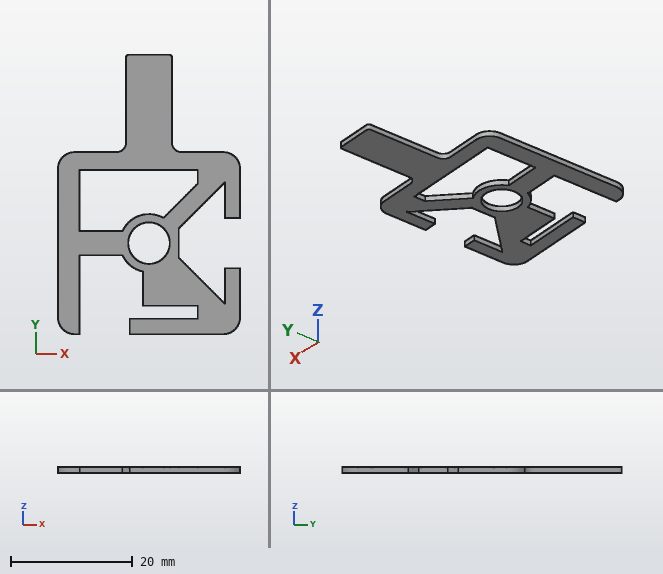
import cadquery as cq

thickness = 1.0
body_size = 30.0
body_half = body_size / 2
body_corner_radius = 2.8

tab_width = 7.6
tab_length = 16.0
tab_tip_radius = 0.5
tab_root_radius = 1.5

hole_radius = 3.4
ring_radius = 4.8

left_rail_inner_x = -11.4
top_rail_inner_y = 12.0
web_half_width = 2.0

window_right_x = 8.0
strut_offset = 1.77

notch_floor_x = 4.9
notch_lip_x = 12.5
notch_mouth_half = 4.1
notch_edge_offset = 2.5

bay_right_x = -1.0
bottom_rail_end_x = -3.2
slot_top_y = -10.3
slot_bottom_y = -12.4
slot_end_x = window_right_x


def plate(outline):
    return outline.close().extrude(thickness)


def body_with_tab():
    body = cq.Workplane("XY").rect(body_size, body_size).extrude(thickness)
    body = body.edges("|Z").fillet(body_corner_radius)
    tab = (
        cq.Workplane("XY")
        .center(0, body_half + tab_length / 2)
        .rect(tab_width, tab_length)
        .extrude(thickness)
        .edges("|Z and >Y")
        .fillet(tab_tip_radius)
    )
    tab_roots = cq.selectors.BoxSelector(
        (-tab_width, body_half - tab_root_radius, -thickness),
        (tab_width, body_half + tab_root_radius, 2 * thickness),
    )
    return body.union(tab).edges("|Z").edges(tab_roots).fillet(tab_root_radius)


def upper_window():
    strut_foot_x = web_half_width - strut_offset
    return plate(
        cq.Workplane("XY")
        .moveTo(left_rail_inner_x, web_half_width)
        .lineTo(left_rail_inner_x, top_rail_inner_y)
        .lineTo(window_right_x, top_rail_inner_y)
        .lineTo(window_right_x, window_right_x + strut_offset)
        .lineTo(strut_foot_x, web_half_width)
    )


def side_notch():
    floor_half = notch_floor_x - notch_edge_offset
    lip_half = notch_lip_x - notch_edge_offset
    return plate(
        cq.Workplane("XY")
        .moveTo(notch_floor_x, -floor_half)
        .lineTo(notch_floor_x, floor_half)
        .lineTo(notch_lip_x, lip_half)
        .lineTo(notch_lip_x, notch_mouth_half)
        .lineTo(body_half, notch_mouth_half)
        .lineTo(body_half, -notch_mouth_half)
        .lineTo(notch_lip_x, -notch_mouth_half)
        .lineTo(notch_lip_x, -lip_half)
    )


def lower_bay():
    return plate(
        cq.Workplane("XY")
        .moveTo(left_rail_inner_x, -body_half)
        .lineTo(left_rail_inner_x, -web_half_width)
        .lineTo(bay_right_x, -web_half_width)
        .lineTo(bay_right_x, slot_top_y)
        .lineTo(slot_end_x, slot_top_y)
        .lineTo(slot_end_x, slot_bottom_y)
        .lineTo(bottom_rail_end_x, slot_bottom_y)
        .lineTo(bottom_rail_end_x, -body_half)
    )


def disc(radius):
    return cq.Workplane("XY").circle(radius).extrude(thickness)


frame = body_with_tab().cut(upper_window()).cut(lower_bay())
result = frame.union(disc(ring_radius)).cut(side_notch()).cut(disc(hole_radius))